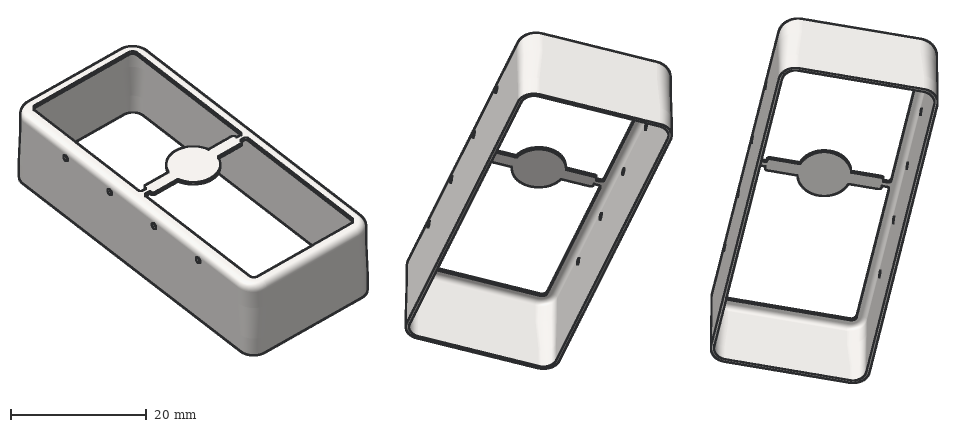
import cadquery as cq

LENGTH = 54.4
WIDTH = 23.9
HEIGHT = 13.5

WALL = 0.5
LOWER_CORNER_RADIUS = 2.5
UPPER_CORNER_RADIUS = 3.0
BLEND_START = 3.25
BLEND_END = 9.1
TOP_FILLET = 1.25

LIP_INSET = 2.0
LIP_THICKNESS = 0.5
LIP_CORNER_RADIUS = 0.8

DISC_DIAMETER = 8.0
BAR_WIDTH = 2.1
NECK_WIDTH = 0.8
NECK_LENGTH = 1.15
NECK_FILLET = 0.45
SHOULDER_FILLET = 0.45

HOLE_DIAMETER = 1.0
HOLE_COUNT = 4
HOLE_SPACING = 10.0
HOLE_DEPTH_BELOW_TOP = 2.0


def rounded_rectangle(length, width, radius, z):
    """Rectangle with rounded corners, lying at height z."""
    outline = cq.Sketch().rect(length, width).vertices().fillet(radius)
    return outline.moved(cq.Location(cq.Vector(0, 0, z)))


def blended_block(inset, top):
    """Block whose corner radius grows between BLEND_START and BLEND_END."""
    length = LENGTH - 2 * inset
    width = WIDTH - 2 * inset
    lower_radius = LOWER_CORNER_RADIUS - inset
    upper_radius = UPPER_CORNER_RADIUS - inset
    lower = cq.Workplane().placeSketch(rounded_rectangle(length, width, lower_radius, 0)).extrude(BLEND_START)
    blend = (
        cq.Workplane()
        .placeSketch(
            rounded_rectangle(length, width, lower_radius, BLEND_START),
            rounded_rectangle(length, width, upper_radius, BLEND_END),
        )
        .loft(ruled=True)
    )
    upper = (
        cq.Workplane()
        .placeSketch(rounded_rectangle(length, width, upper_radius, BLEND_END))
        .extrude(top - BLEND_END)
    )
    return lower.union(blend).union(upper)


def lip_opening():
    """Window in the lip, leaving the bridge standing across its middle."""
    lip_bottom = HEIGHT - LIP_THICKNESS
    opening_length = LENGTH - 2 * LIP_INSET
    opening_width = WIDTH - 2 * LIP_INSET
    bar_length = opening_width - 2 * NECK_LENGTH
    plane = cq.Workplane().workplane(offset=lip_bottom)
    window = plane.rect(opening_length, opening_width).extrude(LIP_THICKNESS)
    window = window.edges("|Z").fillet(LIP_CORNER_RADIUS)
    neck = plane.rect(NECK_WIDTH, opening_width).extrude(LIP_THICKNESS)
    bar = plane.rect(BAR_WIDTH, bar_length).extrude(LIP_THICKNESS)
    bar = bar.edges("|Z").fillet(SHOULDER_FILLET)
    disc = plane.circle(DISC_DIAMETER / 2).extrude(LIP_THICKNESS)
    window = window.cut(neck)
    neck_ends = cq.selectors.BoxSelector(
        (-NECK_WIDTH, -WIDTH, 0),
        (NECK_WIDTH, WIDTH, 2 * HEIGHT),
    )
    window = window.edges("|Z").edges(neck_ends).fillet(NECK_FILLET)
    return window.cut(bar).cut(disc)


def wall_holes():
    return (
        cq.Workplane("XZ")
        .center(0, HEIGHT - HOLE_DEPTH_BELOW_TOP)
        .rarray(HOLE_SPACING, 0.55, HOLE_COUNT, 1)
        .circle(HOLE_DIAMETER / 2)
        .extrude(WIDTH / 2, both=True)
    )


shell = blended_block(0, HEIGHT).faces(">Z").edges().fillet(TOP_FILLET)
cavity = blended_block(WALL, HEIGHT - LIP_THICKNESS).faces(">Z").edges().fillet(TOP_FILLET - WALL)
result = shell.cut(cavity).cut(lip_opening()).cut(wall_holes())